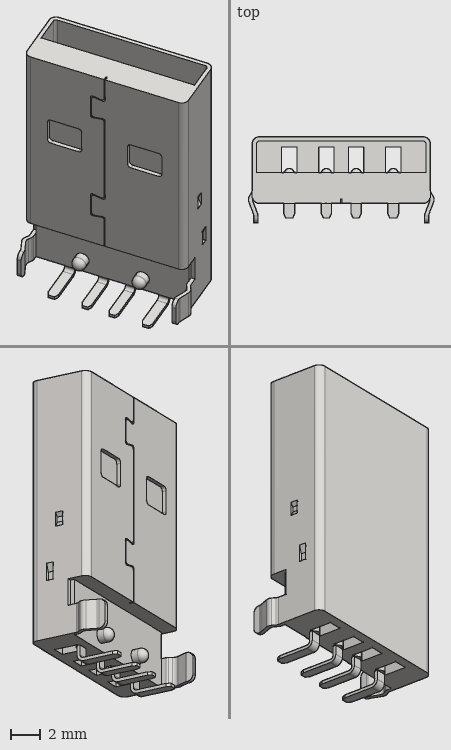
import cadquery as cq


shell_width = 11.99
shell_depth = 4.5
shell_wall = 0.3
corner_radius = 0.5
total_height = 19.98
body_height = 18.8
front_wall_bottom = 4.0
half_width = shell_width / 2
inner_half_width = half_width - shell_wall
inner_radius = corner_radius - shell_wall
front_wall_inner_y = -shell_depth + shell_wall

insert_front_y = -3.25
tongue_face_y = -2.42
floor_z = 9.6
contact_slot_width = 1.02
contact_slot_back_y = -0.7

notch_edge_y = -2.95
clip_height = 2.1
clip_end_y = -5.8
clip_corner_radius = 0.45
clip_bend_radius = 0.34
clip_root_y = -3.7
clip_crest_y = -4.24
clip_crest_half_length = 0.22
clip_toe_y = -5.23
clip_span = 12.49
clip_crest_x = clip_span / 2
clip_crest_rise = 0.05
clip_toe_x = 5.9

window_width = 2.54
window_height = 2.04
window_x = 2.98
window_center_z = 12.7
window_radius = 0.25

seam_gap = 0.08
seam_tab_reach = 1.02
seam_tab_height = 1.9
seam_tab_flare = 0.15
seam_tab_radius = 0.18
seam_tab_overlap = 0.2
seam_tab_centers_z = (7.35, 16.06)

upper_dimple = (-1.98, -2.52, 8.0, 9.0, 0.34, 0.28)
lower_dimple = (-1.28, -1.78, 4.22, 5.45, 0.0, 0.58)
dimple_depth = 0.2

peg_radius = 0.5
peg_x = 2.24
peg_z = 1.05
peg_straight = 0.5

contacts = ((-3.5, 0.75), (-1.0, 0.7), (1.0, 0.7), (3.5, 0.75))
leg_thickness = 0.24
leg_back_y = -2.38
leg_tip_y = -5.47
leg_bottom_z = body_height - total_height
leg_bend_radius = 0.48
leg_tip_taper = 0.3
leg_tip_narrowing = 0.14
leg_root_z = 0.2
rod_radius = 0.34
rod_height = 0.28
rod_center_y = tongue_face_y + rod_height - rod_radius
rod_end_z = 16.78


def block(x0, x1, y0, y1, z0, z1):
    """Box between two opposite corners."""
    return cq.Workplane("XY").box(x1 - x0, y1 - y0, z1 - z0, centered=False).translate((x0, y0, z0))


def both_sides(shape):
    """The shape together with its mirror image across X = 0."""
    return shape.union(shape.mirror("YZ"))


def make_shell():
    """Rectangular tube whose front wall and front corners stop short of the lower end."""
    outside = block(-half_width, half_width, -shell_depth, 0, 0, body_height)
    inside = block(-inner_half_width, inner_half_width, front_wall_inner_y, -shell_wall, 0, body_height)
    shell = outside.edges("|Z").fillet(corner_radius).cut(inside.edges("|Z").fillet(inner_radius))
    return shell.cut(block(-half_width, half_width, -shell_depth, notch_edge_y, 0, front_wall_bottom))


def make_insert():
    """Base block below the plug opening, with the tongue rising to the rim."""
    base = block(-inner_half_width, inner_half_width, insert_front_y, -shell_wall, 0, floor_z)
    tongue = block(-inner_half_width, inner_half_width, front_wall_inner_y, tongue_face_y,
                   front_wall_bottom, body_height)
    tongue = tongue.edges("|Z and <Y").fillet(inner_radius)
    insert = base.union(tongue)
    for x, _ in contacts:
        insert = insert.cut(block(x - contact_slot_width / 2, x + contact_slot_width / 2,
                                  tongue_face_y, contact_slot_back_y, 0, floor_z))
    return insert


def make_clip():
    """Side wall extension on +X that bows outward and then turns back inward."""
    start_y = clip_crest_y + clip_crest_half_length
    end_y = clip_crest_y - clip_crest_half_length
    shoulder_x = clip_crest_x - clip_crest_rise
    clip = (
        cq.Workplane("XY")
        .moveTo(half_width, notch_edge_y)
        .lineTo(half_width, clip_root_y)
        .lineTo(shoulder_x, start_y)
        .threePointArc((clip_crest_x, clip_crest_y), (shoulder_x, end_y))
        .lineTo(clip_toe_x, clip_toe_y)
        .lineTo(clip_toe_x, clip_end_y)
        .lineTo(clip_toe_x - shell_wall, clip_end_y)
        .lineTo(clip_toe_x - shell_wall, clip_toe_y)
        .lineTo(shoulder_x - shell_wall, end_y)
        .threePointArc((clip_crest_x - shell_wall, clip_crest_y), (shoulder_x - shell_wall, start_y))
        .lineTo(inner_half_width, clip_root_y)
        .lineTo(inner_half_width, notch_edge_y)
        .close()
        .extrude(clip_height)
    )
    clip = clip.edges("|X and <Y").fillet(clip_corner_radius)
    for bend_x, bend_y in ((half_width, clip_root_y), (clip_toe_x, clip_toe_y)):
        for x in (bend_x, bend_x - shell_wall):
            bend = cq.selectors.NearestToPointSelector((x, bend_y, clip_height / 2))
            clip = clip.edges("|Z").edges(bend).fillet(clip_bend_radius)
    wall = block(inner_half_width, half_width, notch_edge_y, notch_edge_y + shell_wall, 0, clip_height)
    return clip.union(wall)


def make_windows():
    """Pair of rounded openings through the front wall."""
    window = cq.Workplane("XY").box(window_width, shell_wall, window_height).edges("|Y").fillet(window_radius)
    return both_sides(window.translate((window_x, -shell_depth + shell_wall / 2, window_center_z)))


def make_seam():
    """Thin slit at X = 0 that steps around two dovetail tabs."""

    def front_half(offset):
        """Front wall right of the seam line, with its edge moved left by offset."""
        half = block(-offset, half_width, -shell_depth, front_wall_inner_y, front_wall_bottom, body_height)
        for z in seam_tab_centers_z:
            tip = seam_tab_height / 2 + offset
            neck = tip - seam_tab_flare
            reach = seam_tab_reach + offset
            tab = cq.Workplane("XZ", origin=(0, front_wall_inner_y, z)).polyline(
                [(seam_tab_overlap, neck), (-offset, neck), (-reach, tip),
                 (-reach, -tip), (-offset, -neck), (seam_tab_overlap, -neck)]
            ).close().extrude(shell_wall)
            half = half.union(tab.edges("|Y and <X").fillet(seam_tab_radius))
            for neck_z in (z - neck, z + neck):
                corner = cq.selectors.NearestToPointSelector((-offset, -shell_depth + shell_wall / 2, neck_z))
                half = half.edges("|Y").edges(corner).fillet(seam_tab_radius)
        return half

    return front_half(seam_gap / 2).cut(front_half(-seam_gap / 2))


def make_dimple(rear_y, front_y, lower_z, upper_z, lower_ramp, upper_ramp):
    """Recess in the +X side wall with a flat floor and ramped ends."""
    floor_x = half_width - dimple_depth
    outline = [(half_width, lower_z), (floor_x, lower_z + lower_ramp),
               (floor_x, upper_z - upper_ramp), (half_width, upper_z)]
    return cq.Workplane("XZ", origin=(0, rear_y, 0)).polyline(outline).close().extrude(rear_y - front_y)


def make_peg():
    """Round pin with a hemispherical tip on the front of the insert."""
    peg = cq.Workplane("XZ", origin=(peg_x, insert_front_y, peg_z)).circle(peg_radius).extrude(peg_straight)
    tip = cq.Workplane("XY").sphere(peg_radius).translate((peg_x, insert_front_y - peg_straight, peg_z))
    return peg.union(tip)


def make_leg(x, width):
    """L-shaped solder leg with a rounded bend and a tapered tip."""
    inner_y = leg_back_y - leg_thickness
    inner_z = leg_bottom_z + leg_thickness
    leg = (
        cq.Workplane("YZ", origin=(x - width / 2, 0, 0))
        .polyline([(leg_back_y, leg_root_z), (leg_back_y, leg_bottom_z), (leg_tip_y, leg_bottom_z),
                   (leg_tip_y, inner_z), (inner_y, inner_z), (inner_y, leg_root_z)])
        .close()
        .extrude(width)
    )
    outer_bend = cq.selectors.NearestToPointSelector((x, leg_back_y, leg_bottom_z))
    leg = leg.edges(outer_bend).fillet(leg_bend_radius)
    inner_bend = cq.selectors.NearestToPointSelector((x, inner_y, inner_z))
    leg = leg.edges(inner_bend).fillet(leg_bend_radius - leg_thickness)
    side = width / 2
    tip = side - leg_tip_narrowing
    taper_y = leg_tip_y + leg_tip_taper
    plan = cq.Workplane("XY", origin=(x, 0, leg_bottom_z)).polyline(
        [(-side, 0), (-side, taper_y), (-tip, leg_tip_y), (tip, leg_tip_y), (side, taper_y), (side, 0)]
    ).close().extrude(leg_root_z - leg_bottom_z)
    return leg.intersect(plan)


def make_contact_rod(x):
    """Round contact, partly sunk in the tongue face, with a hemispherical upper end."""
    rod = cq.Workplane("XY", origin=(x, rod_center_y, 0)).circle(rod_radius).extrude(rod_end_z - rod_radius)
    end = cq.Workplane("XY").sphere(rod_radius).translate((x, rod_center_y, rod_end_z - rod_radius))
    return rod.union(end)


result = make_shell().union(make_insert()).union(both_sides(make_clip())).union(both_sides(make_peg()))
result = result.cut(make_windows()).cut(make_seam())
for dimple in (upper_dimple, lower_dimple):
    result = result.cut(both_sides(make_dimple(*dimple)))
for contact_x, leg_width in contacts:
    result = result.union(make_contact_rod(contact_x)).union(make_leg(contact_x, leg_width))